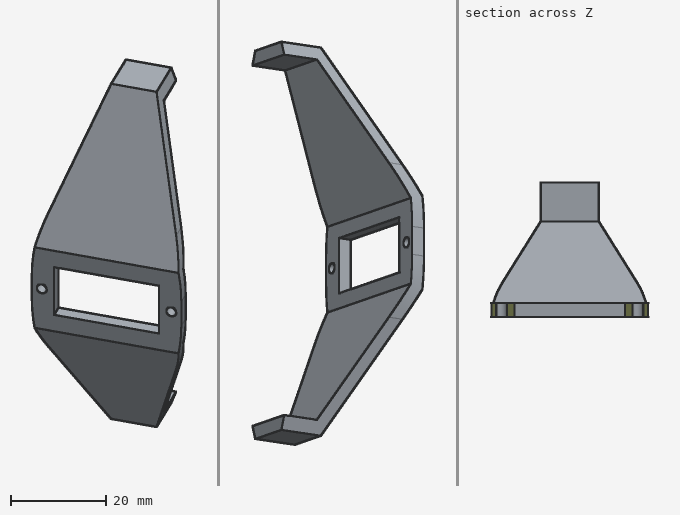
import cadquery as cq
import math

width = 33.0
depth = 28.2
height = 83.5

thickness = 3.0
face_height = 20.0
leg_angle = 60.0

end_width = 10.0
side_radius = 40.0

window_width = 23.05
window_height = 11.85
hole_diameter = 2.2
hole_spacing = 28.55

half_width = width / 2
half_height = height / 2
half_face = face_height / 2
half_end = end_width / 2


def bent_strip():
    """Constant-thickness strip with its front face at Y = 0, as wide as the part."""
    angle = math.radians(leg_angle)
    outer_bend_y = (half_height - half_face) / math.tan(angle)
    inner_face_z = half_face - thickness * math.tan((math.pi / 2 - angle) / 2)
    inner_bend_z = half_height - thickness
    inner_bend_y = thickness + (inner_bend_z - inner_face_z) / math.tan(angle)
    outer = [(0, half_face), (outer_bend_y, half_height), (depth, half_height)]
    inner = [(depth, inner_bend_z), (inner_bend_y, inner_bend_z), (thickness, inner_face_z)]
    upper = outer + inner
    lower = [(y, -z) for y, z in reversed(upper)]
    return cq.Workplane("YZ").polyline(upper + lower).close().extrude(half_width, both=True)


def tapered_outline():
    """Front outline with straight tapers blended into the sides at the bend lines."""
    right = [(half_end, half_height), (half_width, half_face)]
    right += [(half_width, -half_face), (half_end, -half_height)]
    left = [(-x, z) for x, z in reversed(right)]
    blank = cq.Workplane("XZ").polyline(right + left).close().extrude(-depth)
    box_reach = half_height / 2
    side_box = cq.selectors.BoxSelector((-width, 0, -box_reach), (width, depth, box_reach))
    return blank.edges("|Y").edges(side_box).fillet(side_radius)


def face_openings():
    """Rectangular window with a screw hole on either side."""
    window = cq.Workplane("XZ").rect(window_width, window_height).extrude(-thickness)
    hole_places = [(-hole_spacing / 2, 0), (hole_spacing / 2, 0)]
    holes = cq.Workplane("XZ").pushPoints(hole_places).circle(hole_diameter / 2).extrude(-thickness)
    return window.union(holes)


result = bent_strip().intersect(tapered_outline()).cut(face_openings())